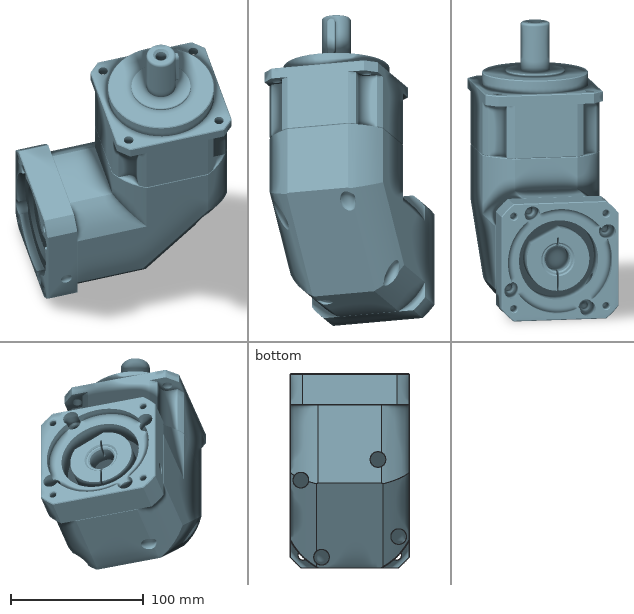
import cadquery as cq
import math

square = 90.0
half = square / 2
total_height = 210.5
total_depth = 146.5
round_radius = 51.0
joint_chamfer = 0.5
edge_chamfer = 0.6

top_z = total_height - half
joint_z = 69.3
flange_bottom_z = 109.7
flange_top_z = 117.7
spigot_top_z = 127.6
collar_top_z = 129.0

elbow_front_y = -78.3
adapter_front_y = half - total_depth

diagonal_offset = 26.0
diagonal_axis_depth = 44.5

screw_circle_radius = 42.5
screw_angles = [30, 120, 210, 300]
screw_head_radius = 6.0
elbow_screw_floor_z = 31.5

flange_corner_cut = 8.2
mount_hole_offset = 35.4
mount_hole_radius = 3.5
notch_wall = 29.3
notch_fillet = 5.5
spigot_radius = 40.0
spigot_chamfer = 0.6

seal_radius = 34.1
collar_radius = 22.5
collar_chamfer = 0.5
shaft_radius = 11.0
shaft_fillet = 2.0
shaft_hole_radius = 4.2
shaft_hole_mouth_radius = 6.0
shaft_hole_depth = 19.0
key_width = 6.1
key_length = 28.2
key_top_gap = 3.5
key_outer_y = 13.5
key_bottom_y = 7.4
key_chamfer = 0.5

adapter_round_radius = 57.3
register_radius = 40.0
register_depth = 6.3
cavity_radius = 30.3
adapter_screw_depth = 12.6
adapter_screw_hole_radius = 2.7
adapter_screw_mouth_radius = 3.8
adapter_screw_hole_depth = 6.3
motor_hole_radius = 2.5
motor_hole_mouth_radius = 3.2
motor_hole_depth = 12.6
drill_tip_angle = 118

hub_radius = 24.0
hub_recess = 8.5
hub_bore_radius = 9.5
hub_bore_mouth_radius = 10.5
hub_step_radius = 11.8
hub_step_mouth_radius = 12.8
hub_step_depth = 1.3
hub_flat_distance = 20.5
hub_flat_angle = 117
slit_width = 1.7
slit_reach = 16.6
slit_depth = 10.5
clamp_screw_z = -16.8
clamp_screw_depth = 14.7
clamp_access_radius = 4.2


def rounded_square(workplane, start, length, radius):
    """Prism of the square section with its corners rounded about the prism axis."""
    prism = cq.Workplane(workplane).workplane(offset=start).rect(square, square).extrude(length)
    cylinder = cq.Workplane(workplane).workplane(offset=start).circle(radius).extrude(length)
    return prism.intersect(cylinder)


def polar(radius, angle):
    return (radius * math.cos(math.radians(angle)), radius * math.sin(math.radians(angle)))


def drilled_hole(radius, mouth_radius, depth):
    """Cutter along -Z from the origin: 45 degree mouth, straight bore and drill point."""
    mouth_depth = mouth_radius - radius
    tip_depth = depth + radius / math.tan(math.radians(drill_tip_angle / 2))
    outline = [(0, 0), (mouth_radius, 0), (radius, -mouth_depth), (radius, -depth), (0, -tip_depth)]
    return cq.Workplane("XZ").polyline(outline).close().revolve(360, (0, 0, 0), (0, 1, 0))


def on_input_face(cutter, x, y, z):
    """Turn a cutter that runs along -Z so that it runs along +Y from (x, y, z)."""
    return cutter.rotate((0, 0, 0), (1, 0, 0), 90).translate((x, y, z))


screw_points = [polar(screw_circle_radius, angle) for angle in screw_angles]
corner_signs = [(-1, -1), (-1, 1), (1, -1), (1, 1)]
corner_points = [(mount_hole_offset * sx, mount_hole_offset * sy) for sx, sy in corner_signs]


def make_diagonal_envelope():
    """Long prism parallel to the diagonal back face, rounded on that side only."""
    face_distance = diagonal_offset / math.sqrt(2)
    axis_distance = face_distance - diagonal_axis_depth
    reach = 2 * top_z
    plane = cq.Plane(origin=(0, 0, 0), xDir=(1, 0, 0), normal=(0, 1, 1))
    outer = cq.Workplane(plane).center(0, axis_distance).circle(round_radius)
    inner = cq.Workplane(plane).center(0, axis_distance - reach / 2).rect(square, reach)
    slab = cq.Workplane(plane).center(0, face_distance - reach / 2).rect(square, reach)
    rounded = outer.extrude(reach / 2, both=True).union(inner.extrude(reach / 2, both=True))
    return rounded.intersect(slab.extrude(reach / 2, both=True))


def make_elbow():
    upright = rounded_square("XY", -half, joint_z + half, round_radius)
    upright = upright.faces(">Z").chamfer(joint_chamfer)
    level = rounded_square("XZ", -half, half - elbow_front_y, round_radius)
    level = level.faces("<Y").chamfer(joint_chamfer)
    outer_corner = upright.intersect(level)
    above_axis = cq.Workplane("XY").rect(square, square).extrude(top_z)
    before_axis = cq.Workplane("XZ").rect(square, square).extrude(top_z)
    elbow = upright.intersect(above_axis).union(level.intersect(before_axis)).union(outer_corner)
    elbow = elbow.intersect(make_diagonal_envelope())
    screw_wells = (
        cq.Workplane("XY").workplane(offset=-half).pushPoints(screw_points)
        .circle(screw_head_radius).extrude(half + elbow_screw_floor_z)
    )
    return elbow.cut(screw_wells)


def make_corner_notch(sx, sy):
    """Block that clears one corner under the flange; sx and sy are the signs of that corner."""
    block_side = square
    offset = notch_wall + block_side / 2
    inner_corner = ("<X" if sx > 0 else ">X") + " and " + ("<Y" if sy > 0 else ">Y")
    return (
        cq.Workplane("XY").workplane(offset=joint_z).center(sx * offset, sy * offset)
        .rect(block_side, block_side).extrude(flange_bottom_z - joint_z)
        .edges("|Z").edges(inner_corner).fillet(notch_fillet)
    )


def make_output_housing():
    barrel = rounded_square("XY", joint_z, flange_bottom_z - joint_z, round_radius)
    barrel = barrel.faces("<Z").chamfer(joint_chamfer)
    for sx, sy in corner_signs:
        barrel = barrel.cut(make_corner_notch(sx, sy))
    flange = (
        cq.Workplane("XY").workplane(offset=flange_bottom_z).rect(square, square)
        .extrude(flange_top_z - flange_bottom_z)
        .edges("|Z").chamfer(flange_corner_cut)
        .faces(">Z").chamfer(edge_chamfer)
    )
    mount_holes = (
        cq.Workplane("XY").workplane(offset=flange_bottom_z).pushPoints(corner_points)
        .circle(mount_hole_radius).extrude(flange_top_z - flange_bottom_z)
    )
    spigot = (
        cq.Workplane("XY").workplane(offset=flange_top_z).circle(spigot_radius)
        .extrude(spigot_top_z - flange_top_z).faces(">Z").chamfer(spigot_chamfer)
    )
    seal_seat = (
        cq.Workplane("XY").workplane(offset=flange_top_z).circle(seal_radius)
        .extrude(spigot_top_z - flange_top_z)
    )
    return barrel.union(flange.cut(mount_holes)).union(spigot).cut(seal_seat)


def make_seal_ring():
    return (
        cq.Workplane("XY").workplane(offset=flange_top_z).circle(seal_radius).circle(collar_radius)
        .extrude(spigot_top_z - flange_top_z)
    )


def make_key():
    key_center_z = top_z - key_top_gap - key_length / 2
    return (
        cq.Workplane("XZ").workplane(offset=-key_outer_y).center(0, key_center_z)
        .slot2D(key_length, key_width, 90).extrude(key_outer_y - key_bottom_y)
        .faces(">Y").chamfer(key_chamfer)
    )


def make_shaft():
    collar = (
        cq.Workplane("XY").workplane(offset=flange_top_z).circle(collar_radius)
        .extrude(collar_top_z - flange_top_z).faces(">Z").chamfer(collar_chamfer)
    )
    journal = (
        cq.Workplane("XY").workplane(offset=flange_top_z).circle(shaft_radius)
        .extrude(top_z - flange_top_z).faces(">Z").edges().fillet(shaft_fillet)
    )
    center_hole = drilled_hole(shaft_hole_radius, shaft_hole_mouth_radius, shaft_hole_depth)
    return collar.union(journal).cut(center_hole.translate((0, 0, top_z))).cut(make_key())


def make_adapter():
    thickness = elbow_front_y - adapter_front_y
    adapter = rounded_square("XZ", -elbow_front_y, thickness, adapter_round_radius)
    adapter = adapter.faces("<Y").chamfer(edge_chamfer)
    cavity = (
        cq.Workplane("XZ").workplane(offset=-elbow_front_y).circle(cavity_radius).extrude(thickness)
    )
    register = (
        cq.Workplane("XZ").workplane(offset=-adapter_front_y).circle(register_radius)
        .extrude(-register_depth)
    )
    adapter = adapter.cut(cavity).cut(register)

    screw_heads = (
        cq.Workplane("XZ").workplane(offset=-adapter_front_y).pushPoints(screw_points)
        .circle(screw_head_radius).extrude(-adapter_screw_depth)
    )
    adapter = adapter.cut(screw_heads)
    screw_hole = drilled_hole(
        adapter_screw_hole_radius, adapter_screw_mouth_radius, adapter_screw_hole_depth
    )
    for x, z in screw_points:
        adapter = adapter.cut(on_input_face(screw_hole, x, adapter_front_y + adapter_screw_depth, z))

    motor_hole = drilled_hole(motor_hole_radius, motor_hole_mouth_radius, motor_hole_depth)
    for x, z in corner_points:
        adapter = adapter.cut(on_input_face(motor_hole, x, adapter_front_y, z))

    clamp_access = (
        cq.Workplane("YZ").center(adapter_front_y + clamp_screw_depth, clamp_screw_z)
        .circle(clamp_access_radius).extrude(half)
    )
    return adapter.cut(clamp_access)


def make_clamp_hub():
    front_y = adapter_front_y + hub_recess
    length = elbow_front_y - front_y
    hub = cq.Workplane("XZ").workplane(offset=-elbow_front_y).circle(hub_radius).extrude(length)

    outline = [
        (0, 0),
        (hub_step_mouth_radius, 0),
        (hub_step_radius, hub_step_radius - hub_step_mouth_radius),
        (hub_step_radius, -hub_step_depth),
        (hub_bore_mouth_radius, -hub_step_depth),
        (hub_bore_radius, hub_bore_radius - hub_bore_mouth_radius - hub_step_depth),
        (hub_bore_radius, -length),
        (0, -length),
    ]
    bore = cq.Workplane("XZ").polyline(outline).close().revolve(360, (0, 0, 0), (0, 1, 0))
    hub = hub.cut(on_input_face(bore, 0, front_y, 0))

    flat_cut = (
        cq.Workplane("XZ").workplane(offset=-elbow_front_y)
        .center(hub_flat_distance + hub_radius / 2, 0).rect(hub_radius, 2 * hub_radius).extrude(length)
        .rotate((0, 0, 0), (0, 1, 0), -hub_flat_angle)
    )
    hub = hub.cut(flat_cut)

    inner_slit = (
        cq.Workplane("XZ").workplane(offset=-front_y).rect(slit_width, 2 * slit_reach)
        .extrude(-slit_depth)
    )
    rim_slit = (
        cq.Workplane("XZ").workplane(offset=-front_y)
        .center(0, -(slit_reach + hub_radius) / 2).rect(slit_width, hub_radius - slit_reach)
        .extrude(-length)
    )
    return hub.cut(inner_slit).cut(rim_slit)


elbow = make_elbow()
output_housing = make_output_housing()
seal_ring = make_seal_ring()
shaft = make_shaft()
key = make_key()
adapter = make_adapter()
clamp_hub = make_clamp_hub()

result = cq.Compound.makeCompound(
    [
        elbow.val(),
        output_housing.val(),
        seal_ring.val(),
        shaft.val(),
        key.val(),
        adapter.val(),
        clamp_hub.val(),
    ]
)